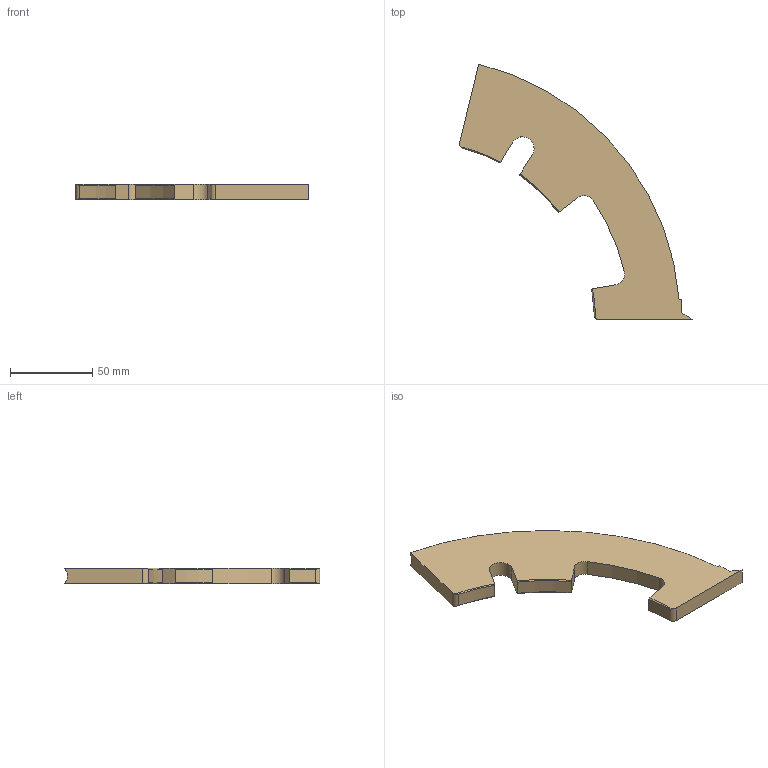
import math
import cadquery as cq

outer_radius = 160.0
inner_radius = 108.0
thickness = 9.49
end_angle = 76.4
corner_radius = 3.0
inner_bevel = 0.6

groove_depth = 2.1
groove_radius = ((thickness / 2) ** 2 + groove_depth**2) / (2 * groove_depth)

recess_radius = 129.5
recess_start_angle = 10.0
recess_end_angle = 37.2
recess_corner_radius = 6.5

slot_width = 14.0
slot_end_radius = 129.5
slot_angle = 58.35

pad_x = 161.1
pad_height = 12.5
lip_tip_x = 167.6
lip_height = 4.4

CUT_MARGIN = 10.0


def polar(radius, angle):
    """Point at the given radius and angle in degrees."""
    return (radius * math.cos(math.radians(angle)), radius * math.sin(math.radians(angle)))


def ring_sector(inner, outer, start, end):
    """Full-thickness sector of a ring between two radii and two angles."""
    middle = (start + end) / 2
    return (
        cq.Workplane("XY")
        .moveTo(*polar(inner, start))
        .lineTo(*polar(outer, start))
        .threePointArc(polar(outer, middle), polar(outer, end))
        .lineTo(*polar(inner, end))
        .threePointArc(polar(inner, middle), polar(inner, start))
        .close()
        .extrude(thickness)
    )


def round_corners(sector, radius_from_axis, angles, corner_size):
    """Round the upright edges of a sector at one radius and several angles."""
    for angle in angles:
        corner = (*polar(radius_from_axis, angle), thickness / 2)
        sector = sector.edges(cq.selectors.NearestToPointSelector(corner)).fillet(corner_size)
    return sector


def segment_blank():
    """Ring sector with its two inner corners rounded."""
    blank = ring_sector(inner_radius, outer_radius, 0, end_angle)
    return round_corners(blank, inner_radius, (0, end_angle), corner_radius)


def rim_groove():
    """Torus whose inner side cuts the groove."""
    centre_radius = outer_radius - groove_depth + groove_radius
    return (
        cq.Workplane("XZ")
        .moveTo(centre_radius, thickness / 2)
        .circle(groove_radius)
        .revolve(360, (0, 0), (0, 1))
    )


def rim_bevel(face_z, inward):
    """Triangular ring, its slanted side at 45 degrees, that bevels the inner rim at one face.

    inward is the sign of the Z direction from that face into the part.
    """
    return (
        cq.Workplane("XZ")
        .moveTo(inner_radius - inner_bevel, face_z - inward * inner_bevel)
        .lineTo(inner_radius + 2 * inner_bevel, face_z - inward * inner_bevel)
        .lineTo(inner_radius - inner_bevel, face_z + inward * 2 * inner_bevel)
        .close()
        .revolve(360, (0, 0), (0, 1))
    )


def wide_recess():
    """Ring sector with its two outer corners rounded, open towards the axis."""
    recess = ring_sector(inner_radius - CUT_MARGIN, recess_radius, recess_start_angle, recess_end_angle)
    corner_angles = (recess_start_angle, recess_end_angle)
    return round_corners(recess, recess_radius, corner_angles, recess_corner_radius)


def round_slot():
    """Slot drawn along +X, then turned to its angle."""
    half_width = slot_width / 2
    mouth = inner_radius - CUT_MARGIN
    straight_end = slot_end_radius - half_width
    return (
        cq.Workplane("XY")
        .moveTo(mouth, -half_width)
        .lineTo(straight_end, -half_width)
        .threePointArc((slot_end_radius, 0), (straight_end, half_width))
        .lineTo(mouth, half_width)
        .close()
        .extrude(thickness)
        .rotate((0, 0, 0), (0, 0, 1), slot_angle)
    )


def pad_and_lip():
    """Full-thickness block rooted in the solid rim behind the groove."""
    root_x = outer_radius - 2 * groove_depth
    return (
        cq.Workplane("XY")
        .moveTo(root_x, 0)
        .lineTo(lip_tip_x, 0)
        .lineTo(pad_x, lip_height)
        .lineTo(pad_x, pad_height)
        .lineTo(root_x, pad_height)
        .close()
        .extrude(thickness)
    )


result = segment_blank().cut(rim_groove())
result = result.cut(rim_bevel(0, 1)).cut(rim_bevel(thickness, -1))
result = result.cut(wide_recess()).cut(round_slot())
result = result.union(pad_and_lip())